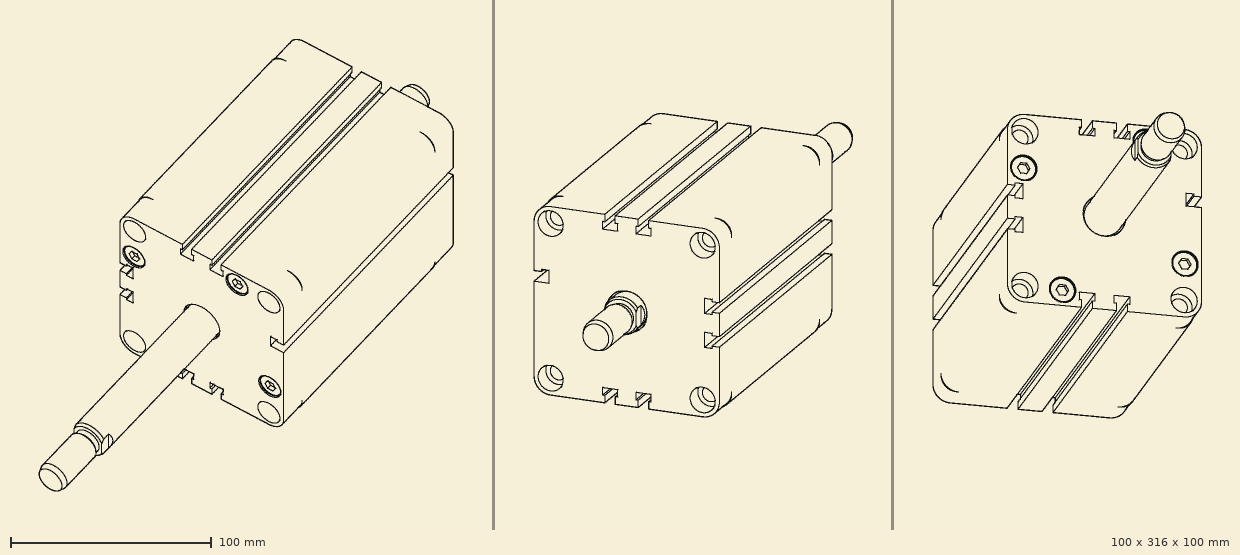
import cadquery as cq
import math

BODY_SIZE = 100.0
BODY_LENGTH = 146.0
PLATE_THICKNESS = 16.0
PLATE_CORNER_RADIUS = 9.0
PROFILE_CORNER_RADIUS = 8.0
HALF_SIZE = BODY_SIZE / 2
FRONT_Y = -BODY_LENGTH / 2
BACK_Y = BODY_LENGTH / 2

SLOT_SPACING = 18.0
SLOT_MOUTH_WIDTH = 5.6
SLOT_INNER_WIDTH = 8.0
SLOT_LIP = 4.0
SLOT_DEPTH = 8.0
SLOT_UNDERCUT = (SLOT_INNER_WIDTH - SLOT_MOUTH_WIDTH) / 2
HOOK_SLOT_CENTER_Z = 12.0

MOUNT_HOLE_OFFSET = 41.0
MOUNT_HOLE_DIAMETER = 8.57
MOUNT_BORE_DIAMETER = 13.5
MOUNT_BORE_DEPTH = 10.0

SCREW_EDGE_OFFSET = 41.5
SCREW_SIDE_OFFSET = 21.5
SCREW_BORE_DIAMETER = 13.5
SCREW_BORE_DEPTH = 1.0
SCREW_HEAD_DIAMETER = 12.5
SCREW_HEAD_RECESS = 0.5
SOCKET_ACROSS_FLATS = 5.5
SOCKET_DEPTH = 2.5

ROD_DIAMETER = 20.0
ROD_FRONT_REACH = 130.0
ROD_BACK_REACH = 40.0
ROD_SHOULDER_CHAMFER = 0.8
ROD_SHOULDER_CHAMFER_LENGTH = 1.75
ROD_END_LENGTH = 32.0
THREAD_DIAMETER = 16.0
THREAD_LENGTH = 29.0
RELIEF_DIAMETER = 14.0
THREAD_TIP_DIAMETER = 14.0
THREAD_TIP_LENGTH = 3.0
THREAD_ROOT_CHAMFER = (THREAD_DIAMETER - RELIEF_DIAMETER) / 2
FLATS_ACROSS = 17.0
FLATS_LENGTH = 6.0
FLATS_RUNOUT = (ROD_DIAMETER - FLATS_ACROSS) / 2
ROD_SEAT_DIAMETER = 22.0
ROD_SEAT_DEPTH = 2.0


def toward_back(y_start):
    """XZ sketch plane at y_start whose extrusions grow toward +Y."""
    return cq.Workplane(cq.Plane(origin=(0, y_start, 0), xDir=(1, 0, 0), normal=(0, -1, 0)))


def cylinder(x, z, y_start, diameter, length):
    """Cylinder along Y, growing toward +Y from y_start."""
    return toward_back(y_start).center(x, z).circle(diameter / 2).extrude(-length)


def square_block(y_start, length, corner_radius):
    block = toward_back(y_start).rect(BODY_SIZE, BODY_SIZE).extrude(-length)
    return block.edges("|Y").fillet(corner_radius)


def body_blank():
    profile_length = BODY_LENGTH - 2 * PLATE_THICKNESS
    front_plate = square_block(FRONT_Y, PLATE_THICKNESS, PLATE_CORNER_RADIUS)
    profile = square_block(FRONT_Y + PLATE_THICKNESS, profile_length, PROFILE_CORNER_RADIUS)
    back_plate = square_block(BACK_Y - PLATE_THICKNESS, PLATE_THICKNESS, PLATE_CORNER_RADIUS)
    return front_plate.union(profile).union(back_plate)


def side_slot(center, low_undercut, high_undercut, turn):
    """Slot cutter on the +X side at height `center`, turned about Y by `turn` degrees."""
    low = center - SLOT_MOUTH_WIDTH / 2
    high = center + SLOT_MOUTH_WIDTH / 2
    floor_x = HALF_SIZE - SLOT_DEPTH
    lip_x = HALF_SIZE - SLOT_LIP
    mouth = toward_back(FRONT_Y).moveTo(floor_x, low).lineTo(HALF_SIZE, low)
    mouth = mouth.lineTo(HALF_SIZE, high).lineTo(floor_x, high).close().extrude(-BODY_LENGTH)
    inner_low = low - low_undercut
    inner_high = high + high_undercut
    inner = toward_back(FRONT_Y).moveTo(floor_x, inner_low).lineTo(lip_x, inner_low)
    inner = inner.lineTo(lip_x, inner_high).lineTo(floor_x, inner_high).close().extrude(-BODY_LENGTH)
    return mouth.union(inner).rotate((0, 0, 0), (0, 1, 0), turn)


def cut_slots(body):
    for turn in (90, 180, 270):
        for center in (-SLOT_SPACING / 2, SLOT_SPACING / 2):
            body = body.cut(side_slot(center, SLOT_UNDERCUT, SLOT_UNDERCUT, turn))
    return body.cut(side_slot(HOOK_SLOT_CENTER_Z, 0, SLOT_UNDERCUT, 0))


def cut_mount_holes(body):
    for x in (-MOUNT_HOLE_OFFSET, MOUNT_HOLE_OFFSET):
        for z in (-MOUNT_HOLE_OFFSET, MOUNT_HOLE_OFFSET):
            body = body.cut(cylinder(x, z, FRONT_Y, MOUNT_HOLE_DIAMETER, BODY_LENGTH))
            for y_start in (FRONT_Y, BACK_Y - MOUNT_BORE_DEPTH):
                body = body.cut(cylinder(x, z, y_start, MOUNT_BORE_DIAMETER, MOUNT_BORE_DEPTH))
    return body


def add_screws(body):
    """Screws in the front plate, one per quarter turn about the rod."""
    head_y = FRONT_Y + SCREW_HEAD_RECESS
    head_length = SCREW_BORE_DEPTH - SCREW_HEAD_RECESS
    socket_diameter = SOCKET_ACROSS_FLATS / math.cos(math.pi / 6)
    spots = (
        (SCREW_SIDE_OFFSET, SCREW_EDGE_OFFSET),
        (SCREW_EDGE_OFFSET, -SCREW_SIDE_OFFSET),
        (-SCREW_SIDE_OFFSET, -SCREW_EDGE_OFFSET),
        (-SCREW_EDGE_OFFSET, SCREW_SIDE_OFFSET),
    )
    for x, z in spots:
        body = body.cut(cylinder(x, z, FRONT_Y, SCREW_BORE_DIAMETER, SCREW_BORE_DEPTH))
        body = body.union(cylinder(x, z, head_y, SCREW_HEAD_DIAMETER, head_length))
        socket = toward_back(head_y).center(x, z).polygon(6, socket_diameter).extrude(-SOCKET_DEPTH)
        body = body.cut(socket)
    return body


def cut_rod_seats(body):
    for y_start in (FRONT_Y, BACK_Y - ROD_SEAT_DEPTH):
        body = body.cut(cylinder(0, 0, y_start, ROD_SEAT_DIAMETER, ROD_SEAT_DEPTH))
    return body


def half_rod(reach):
    """Rod from the body centre to `reach` beyond the end face, built toward -Y."""
    end = BODY_LENGTH / 2 + reach
    shoulder = end - ROD_END_LENGTH
    thread_start = end - THREAD_LENGTH
    outline = [
        (0, 0),
        (ROD_DIAMETER / 2, 0),
        (ROD_DIAMETER / 2, shoulder - ROD_SHOULDER_CHAMFER_LENGTH),
        (ROD_DIAMETER / 2 - ROD_SHOULDER_CHAMFER, shoulder),
        (RELIEF_DIAMETER / 2, shoulder),
        (RELIEF_DIAMETER / 2, thread_start),
        (THREAD_DIAMETER / 2, thread_start + THREAD_ROOT_CHAMFER),
        (THREAD_DIAMETER / 2, end - THREAD_TIP_LENGTH),
        (THREAD_TIP_DIAMETER / 2, end),
        (0, end),
    ]
    section = cq.Workplane("XY").polyline([(radius, -distance) for radius, distance in outline]).close()
    rod = section.revolve(360, (0, 0, 0), (0, 1, 0))
    flat_x = FLATS_ACROSS / 2
    surface_x = flat_x + FLATS_RUNOUT
    flat_outline = [
        (flat_x, -shoulder),
        (surface_x, -shoulder),
        (surface_x, FLATS_LENGTH + FLATS_RUNOUT - shoulder),
        (flat_x, FLATS_LENGTH - shoulder),
    ]
    flat = cq.Workplane("XY").polyline(flat_outline).close().extrude(ROD_DIAMETER / 2, both=True)
    return rod.cut(flat).cut(flat.mirror("YZ"))


body = cut_slots(body_blank())
body = cut_mount_holes(body)
body = add_screws(body)
body = cut_rod_seats(body)
front_rod = half_rod(ROD_FRONT_REACH)
back_rod = half_rod(ROD_BACK_REACH).mirror("XZ")
result = body.union(front_rod).union(back_rod)